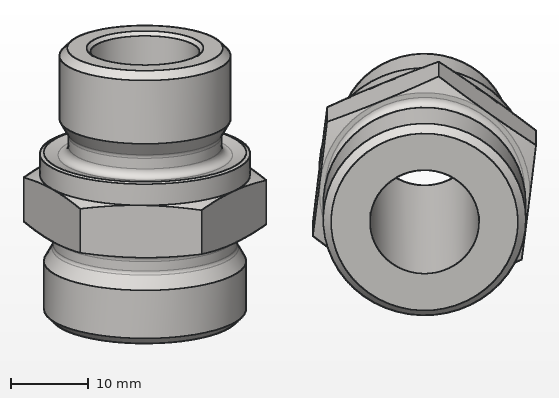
import cadquery as cq
import math

total_height = 36.0
bore_diameter = 14.0
bore_chamfer = 0.5
thread_chamfer = 1.0
groove_radius = 1.0
runout_angle = 30.0

lower_thread_diameter = 26.0
lower_groove_diameter = 23.7
lower_thread_end = 7.45

upper_thread_diameter = 22.0
upper_groove_diameter = 19.7
upper_thread_start = 26.5

hex_across_flats = 27.0
hex_bottom = 12.0
hex_top = 19.0
hex_corner_angle = 30.0
hex_chamfer_angle = 15.0

flange_diameter = hex_across_flats
flange_edge = 22.0
sealing_edge_diameter = 26.0
flange_chamfer_height = 0.15
sealing_face_angle = 10.0
sealing_fillet = 1.15


def revolve_profile(profile):
    """Turn a closed (radius, height) outline around the Z axis."""
    return profile.close().revolve(360, (0, 0, 0), (0, 1, 0))


def runout_points(thread_radius, groove_r, thread_z, direction):
    """Start, middle and end of the rounding between run-out cone and undercut."""
    half_angle = math.radians(runout_angle)
    corner_z = thread_z + direction * (thread_radius - groove_r) / math.tan(half_angle)
    groove_z = corner_z + direction * groove_radius * math.tan(half_angle / 2)

    def on_arc(angle):
        return (
            groove_r + groove_radius * (1 - math.cos(angle)),
            groove_z - direction * groove_radius * math.sin(angle),
        )

    return on_arc(half_angle), on_arc(half_angle / 2), on_arc(0)


def lower_end():
    """Lower thread with its undercut, rounded into the underside of the hexagon."""
    radius = lower_thread_diameter / 2
    groove_r = lower_groove_diameter / 2
    cone_end, arc_middle, groove_start = runout_points(radius, groove_r, lower_thread_end, 1)
    diagonal = groove_radius * math.sqrt(0.5)
    fillet_middle = (groove_r + groove_radius - diagonal, hex_bottom - groove_radius + diagonal)
    return revolve_profile(
        cq.Workplane("XZ")
        .moveTo(0, 0)
        .lineTo(radius - thread_chamfer, 0)
        .lineTo(radius, thread_chamfer)
        .lineTo(radius, lower_thread_end)
        .lineTo(*cone_end)
        .threePointArc(arc_middle, groove_start)
        .lineTo(groove_r, hex_bottom - groove_radius)
        .threePointArc(fillet_middle, (groove_r + groove_radius, hex_bottom))
        .lineTo(0, hex_bottom)
    )


def upper_end():
    """Flange with its dished sealing face, then the undercut and the upper thread."""
    radius = upper_thread_diameter / 2
    groove_r = upper_groove_diameter / 2
    cone_end, arc_middle, groove_end = runout_points(radius, groove_r, upper_thread_start, -1)

    dish = math.radians(sealing_face_angle)
    edge_r = sealing_edge_diameter / 2
    center_r = groove_r + sealing_fillet
    dish_end_r = center_r + sealing_fillet * math.sin(dish)
    dish_end_z = flange_edge - (edge_r - dish_end_r) * math.tan(dish)
    center_z = dish_end_z + sealing_fillet * math.cos(dish)
    middle_angle = (math.pi / 2 - dish) / 2
    fillet_middle = (
        center_r - sealing_fillet * math.sin(middle_angle),
        center_z - sealing_fillet * math.cos(middle_angle),
    )
    return revolve_profile(
        cq.Workplane("XZ")
        .moveTo(0, hex_top)
        .lineTo(flange_diameter / 2, hex_top)
        .lineTo(flange_diameter / 2, flange_edge - flange_chamfer_height)
        .lineTo(edge_r, flange_edge)
        .lineTo(dish_end_r, dish_end_z)
        .threePointArc(fillet_middle, (groove_r, center_z))
        .lineTo(*groove_end)
        .threePointArc(arc_middle, cone_end)
        .lineTo(radius, upper_thread_start)
        .lineTo(radius, total_height - thread_chamfer)
        .lineTo(radius - thread_chamfer, total_height)
        .lineTo(0, total_height)
    )


def hexagon():
    """Hexagon with two flats facing X, its corners chamfered above and below."""
    flat_r = hex_across_flats / 2
    corner_r = flat_r / math.cos(math.pi / 6)
    drop = (corner_r - flat_r) * math.tan(math.radians(hex_chamfer_angle))
    prism = (
        cq.Workplane("XY", origin=(0, 0, hex_bottom))
        .polygon(6, 2 * corner_r)
        .extrude(hex_top - hex_bottom)
        .rotate((0, 0, 0), (0, 0, 1), hex_corner_angle)
    )
    envelope = revolve_profile(
        cq.Workplane("XZ")
        .moveTo(0, hex_bottom)
        .lineTo(flat_r, hex_bottom)
        .lineTo(corner_r, hex_bottom + drop)
        .lineTo(corner_r, hex_top - drop)
        .lineTo(flat_r, hex_top)
        .lineTo(0, hex_top)
    )
    return prism.intersect(envelope)


def bore():
    """Through bore with a chamfered mouth at the top."""
    radius = bore_diameter / 2
    return revolve_profile(
        cq.Workplane("XZ")
        .moveTo(0, 0)
        .lineTo(radius, 0)
        .lineTo(radius, total_height - bore_chamfer)
        .lineTo(radius + bore_chamfer, total_height)
        .lineTo(0, total_height)
    )


result = hexagon().union(lower_end()).union(upper_end()).cut(bore())